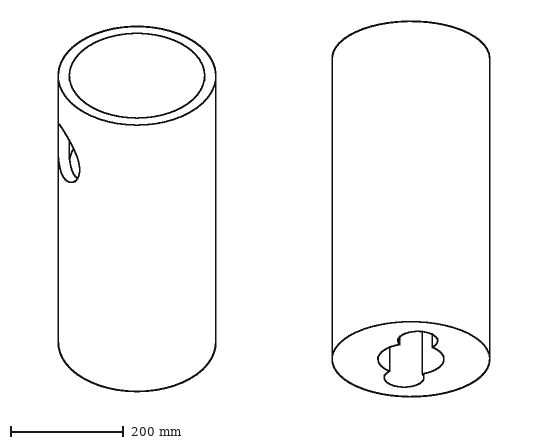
import cadquery as cq

height = 606.5
outer_diameter = 280.0

bore_diameter = 240.0
floor_height = 407.0

centre_hole_diameter = 117.0
lobe_diameter = 70.5
lobe_offset = 70.0

window_diameter = 106.0
window_height = 469.5


def make_bore():
    bore_depth = height - floor_height
    floor_plane = cq.Workplane("XY").workplane(offset=floor_height)
    return floor_plane.circle(bore_diameter / 2).extrude(bore_depth)


def make_passage():
    centre_hole = cq.Workplane("XY").circle(centre_hole_diameter / 2).extrude(floor_height)
    lobes = (
        cq.Workplane("XY")
        .pushPoints([(0, -lobe_offset), (0, lobe_offset)])
        .circle(lobe_diameter / 2)
        .extrude(floor_height)
    )
    return centre_hole.union(lobes)


def make_window():
    return (
        cq.Workplane("XZ")
        .center(0, window_height)
        .circle(window_diameter / 2)
        .extrude(outer_diameter / 2)
    )


body = cq.Workplane("XY").circle(outer_diameter / 2).extrude(height)
result = body.cut(make_bore()).cut(make_passage()).cut(make_window())